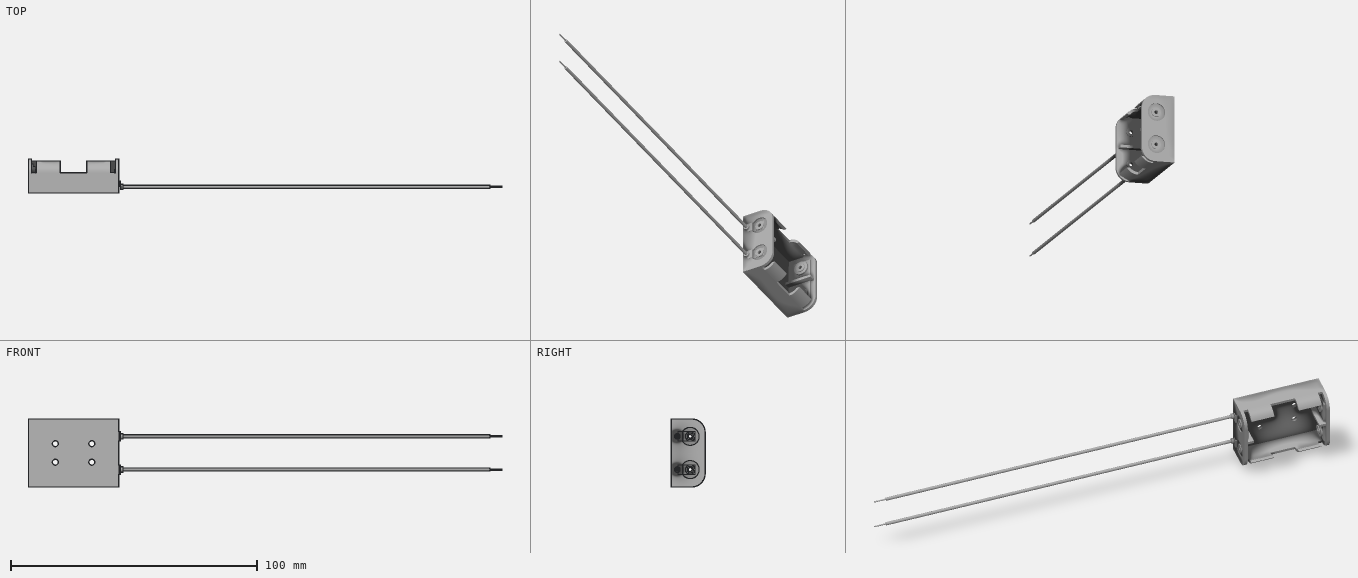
import cadquery as cq
import math

length = 36.6
depth = 13.8
height = 27.6
side_height = 8.3
corner_radius = depth - side_height
end_wall = 1.3
side_wall = 1.2
floor = 1.5

clip_start = 3.3
clip_length = 9.8
clip_reach = 2.7

post_length = 2.9
post_width = 1.2
post_top = 13.0

mount_spacing_x = 14.8
mount_spacing_z = 7.5
mount_diameter = 2.3

cell_offset = 6.7
axis_y = 7.7
recess_radius = 3.6
recess_depth = 0.5
recess_web = end_wall - recess_depth
rivet_head_radius = 2.0
rivet_head = 0.4
rivet_shank_radius = 1.3
rivet_flare = 0.4
rivet_bore_radius = 0.8

jumper_thickness = 0.5
jumper_top = 11.7
jumper_overhang = 3.3
boss_radius = 3.0
boss_height = 0.8

lug_thickness = 0.2
lug_width = 3.8
lug_top_y = 9.5
lug_step_y = 4.6
lug_tail_y = 2.7
lug_reach = 0.8

lead_y = 2.5
lead_diameter = 1.3
lead_end = 186.9
core_diameter = 0.5
core_end = 191.9
barrel_diameter = 2.3
barrel_length = 1.0
barrel_end = length + lug_reach + barrel_length

cell_places = (-cell_offset, cell_offset)
arc_middle_angle = math.radians(45)


def block(x0, x1, y0, y1, z0, z1):
    return cq.Workplane("XY").box(x1 - x0, y1 - y0, z1 - z0, centered=False).translate((x0, y0, z0))


def rod(x0, x1, radius, y, z):
    return cq.Workplane("YZ", origin=(x0, 0, 0)).center(y, z).circle(radius).extrude(x1 - x0)


def tray_profile(inset, bottom):
    """YZ outline of the tray, moved inward by inset and starting at Y = bottom."""
    half = height / 2 - inset
    radius = corner_radius - inset
    top = side_height + radius
    diagonal = radius * math.cos(arc_middle_angle)
    shoulder = half - radius
    return (
        cq.Workplane("YZ")
        .moveTo(bottom, -half)
        .lineTo(side_height, -half)
        .threePointArc((side_height + diagonal, -shoulder - diagonal), (top, -shoulder))
        .lineTo(top, shoulder)
        .threePointArc((side_height + diagonal, shoulder + diagonal), (side_height, half))
        .lineTo(bottom, half)
        .close()
    )


def open_tray():
    """Tray with its cavity; only the clips and end walls rise above the straight sides."""
    inner_end = length - end_wall
    half = height / 2
    opening = half - clip_reach
    clip_end = clip_start + clip_length
    cavity = tray_profile(side_wall, floor).extrude(inner_end - end_wall).translate((end_wall, 0, 0))
    body = tray_profile(0, 0).extrude(length).cut(cavity)
    body = body.cut(block(end_wall, inner_end, side_height, depth, -opening, opening))
    for x0, x1 in (
        (end_wall, clip_start),
        (clip_end, length - clip_end),
        (length - clip_start, inner_end),
    ):
        body = body.cut(block(x0, x1, side_height, depth, -half, half))
    return body


def add_posts(body):
    for x0 in (end_wall, length - end_wall - post_length):
        body = body.union(block(x0, x0 + post_length, 0, post_top, -post_width / 2, post_width / 2))
    return body


def cut_mounting_holes(body):
    for x in (-mount_spacing_x / 2, mount_spacing_x / 2):
        for z in (-mount_spacing_z / 2, mount_spacing_z / 2):
            back = cq.Workplane("XZ", origin=(length / 2 + x, 0, z))
            body = body.cut(back.circle(mount_diameter / 2).extrude(-floor))
    return body


def cut_rivet_seats(body):
    for z in cell_places:
        body = body.cut(rod(0, recess_depth, recess_radius, axis_y, z))
        body = body.cut(rod(length - recess_depth, length, recess_radius, axis_y, z))
        body = body.cut(rod(0, length, rivet_shank_radius, axis_y, z))
    return body


def make_housing():
    body = cut_rivet_seats(cut_mounting_holes(add_posts(open_tray())))
    return body.cut(jumper_blank())


def jumper_blank():
    """Plain strip against the end wall; it also forms its slot through the post."""
    reach = cell_offset + jumper_overhang
    return block(end_wall, end_wall + jumper_thickness, floor, jumper_top, -reach, reach)


def make_jumper():
    """Strip in its slot, with a raised contact boss and a rivet hole on each cell axis."""
    jumper = jumper_blank()
    face = end_wall + jumper_thickness
    boss_top = face + boss_height
    for z in cell_places:
        jumper = jumper.union(rod(face, boss_top, boss_radius, axis_y, z))
        jumper = jumper.cut(rod(end_wall, boss_top, rivet_shank_radius, axis_y, z))
    return jumper


def rivet_shape(clamped):
    """Hollow rivet along +X from X = 0: head, shank through the clamped thickness, flare."""
    flare_start = rivet_head + clamped
    rivet_length = flare_start + rivet_flare
    rivet = rod(0, rivet_head, rivet_head_radius, 0, 0)
    rivet = rivet.union(rod(0, rivet_length, rivet_shank_radius, 0, 0))
    rivet = rivet.union(rod(flare_start, rivet_length, rivet_head_radius, 0, 0))
    return rivet.cut(rod(0, rivet_length, rivet_bore_radius, 0, 0))


def make_jumper_rivet(z):
    """Rivet of the -X end, clamping the jumper to the end wall."""
    head_face = recess_depth - rivet_head
    rivet = rivet_shape(recess_web + jumper_thickness + boss_height)
    return rivet.translate((head_face, axis_y, z))


def make_lug_rivet(z):
    """Rivet of the +X end, clamping a solder lug to the end wall."""
    head_face = length - recess_depth + lug_thickness + rivet_head
    rivet = rivet_shape(recess_web + lug_thickness).rotate((0, 0, 0), (0, 1, 0), 180)
    return rivet.translate((head_face, axis_y, z))


def make_lug(z):
    """Strip that lies in the recess, steps out of it, drops beside the wall and ends in a barrel."""
    seat = length - recess_depth
    tip = length + lug_reach
    z0 = z - lug_width / 2
    z1 = z + lug_width / 2
    lug = block(seat, seat + lug_thickness, lug_step_y, lug_top_y, z0, z1)
    lug = lug.union(block(seat, tip, lug_step_y, lug_step_y + lug_thickness, z0, z1))
    lug = lug.union(block(tip - lug_thickness, tip, lug_tail_y, lug_step_y, z0, z1))
    lug = lug.union(rod(tip, barrel_end, barrel_diameter / 2, lead_y, z))
    return lug.cut(rod(seat, seat + lug_thickness, rivet_shank_radius, axis_y, z))


def make_lead(z):
    """Insulated wire along +X, ending in a bare tip."""
    lead = rod(barrel_end, lead_end, lead_diameter / 2, lead_y, z)
    return lead.union(rod(lead_end, core_end, core_diameter / 2, lead_y, z))


housing = make_housing()
jumper = make_jumper()
jumper_rivets = [make_jumper_rivet(z) for z in cell_places]
lug_rivets = [make_lug_rivet(z) for z in cell_places]
lugs = [make_lug(z) for z in cell_places]
leads = [make_lead(z) for z in cell_places]

repeated = jumper_rivets + lug_rivets + lugs + leads
result = cq.Compound.makeCompound([housing.val(), jumper.val(), *[body.val() for body in repeated]])